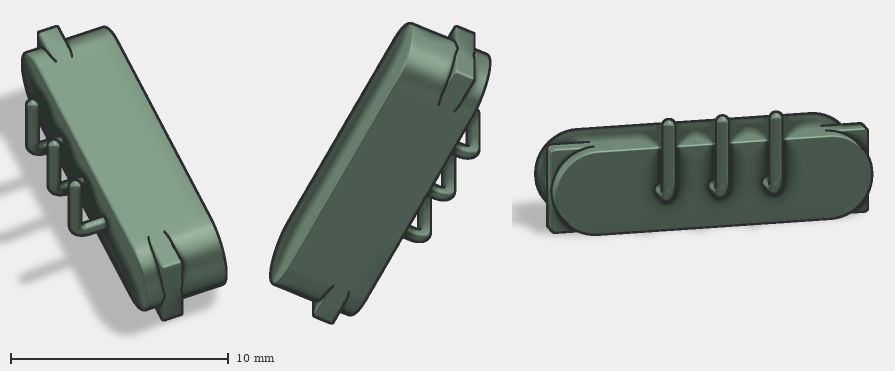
import cadquery as cq

housing_length = 15.0
housing_height = 4.0
housing_depth = 4.0
edge_fillet = 0.1

flange_thickness = 1.0
flange_setback = 0.8
flange_corner_radius = 0.2

pin_count = 3
pin_pitch = 2.54
pin_diameter = 0.6
pin_radius = pin_diameter / 2
pin_reach = 1.8
pin_rise_above_housing = 1.75
bend_radius = pin_diameter

pin_axis_y = -(pin_reach - pin_radius)
pin_top_z = housing_height / 2 + pin_rise_above_housing


def make_stadium_block():
    """Block with full-round ends, its front and back rims rounded."""
    return (
        cq.Workplane("XZ")
        .slot2D(housing_length, housing_height)
        .extrude(-housing_depth)
        .faces("<Y or >Y")
        .edges()
        .fillet(edge_fillet)
    )


def make_flange():
    """Rectangular plate with rounded corners and rounded front and back rims."""
    return (
        cq.Workplane("XZ", origin=(0, flange_setback, 0))
        .rect(housing_length, housing_height)
        .extrude(-flange_thickness)
        .edges("|Y")
        .fillet(flange_corner_radius)
        .faces("<Y or >Y")
        .edges()
        .fillet(edge_fillet)
    )


def make_housing():
    """Stadium block and flange joined into one solid."""
    return make_stadium_block().union(make_flange()).solids()


def make_pin(x):
    """Bent pin that starts on the housing face at the given X."""
    wire_path = (
        cq.Workplane("YZ", origin=(x, 0, 0))
        .moveTo(0, 0)
        .lineTo(pin_axis_y + bend_radius, 0)
        .radiusArc((pin_axis_y, bend_radius), bend_radius)
        .lineTo(pin_axis_y, pin_top_z - pin_radius)
    )
    shank = cq.Workplane("XZ", origin=(x, 0, 0)).circle(pin_radius).sweep(wire_path)
    tip_center = (x, pin_axis_y, pin_top_z - pin_radius)
    tip = (
        cq.Workplane("XZ", origin=tip_center)
        .lineTo(pin_radius, 0)
        .radiusArc((0, pin_radius), -pin_radius)
        .close()
        .revolve(360, (0, 0), (0, 1))
    )
    return shank.union(tip).solids()


housing = make_housing()

first_pin_x = -pin_pitch * (pin_count - 1) / 2
pins = [make_pin(first_pin_x + index * pin_pitch) for index in range(pin_count)]

result = cq.Compound.makeCompound([housing.val(), *[pin.val() for pin in pins]])